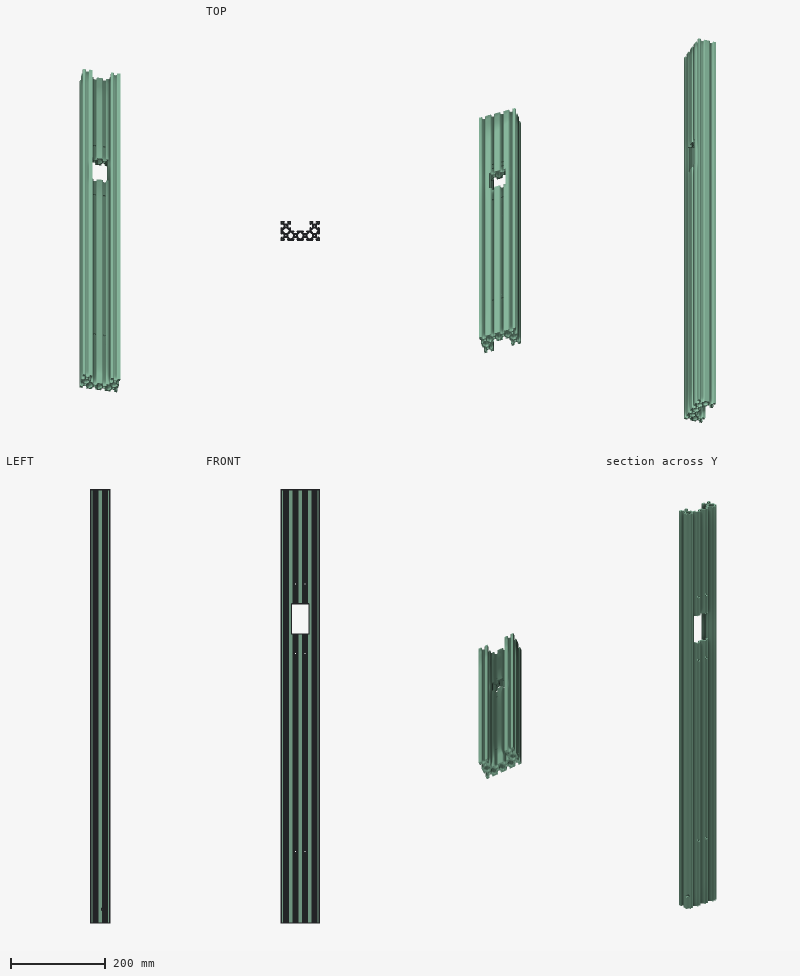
import cadquery as cq

length = 914.0
width = 80.0
cells_across = 4
module = width / cells_across
half_cell = module / 2
depth = 2 * module

mouth_half = 5.0
neck_half = 3.1
lip = 2.0
inside_half = 5.5
inside_side = 1.3
floor_depth = 6.1
floor_half = inside_half - (floor_depth - lip - inside_side)
groove_size = 0.7

chamber_half_length = 7.0
chamber_half_width = 6.0
chamber_corner = 5.0

bore_diameter = 5.0

window_width = 37.0
window_bottom = 610.0
window_top = 673.0

base_hole_diameter = 5.5
through_hole_heights = (151.0, 568.5, 715.0)
blind_hole_height = 698.0

edge_hole_diameter = 5.9
edge_hole_y = -5.5
edge_hole_height = 29.0
edge_hole_depth = half_cell

base_row = -half_cell
arm_row = half_cell
columns = [(i + 0.5) * module - width / 2 for i in range(cells_across)]
outer_columns = (columns[0], columns[-1])
inner_columns = columns[1:-1]
base_cells = [(x, base_row) for x in columns]
arm_cells = [(x, arm_row) for x in outer_columns]


def slot_cutter(x, y, angle):
    """Slot with its mouth centred on (x, y); at angle 0 it opens towards -Y."""
    right = [
        (mouth_half, 0),
        (neck_half, mouth_half - neck_half),
        (neck_half, lip),
        (inside_half, lip),
        (inside_half, lip + inside_side),
        (floor_half, floor_depth),
        (groove_size, floor_depth),
    ]
    groove_tip = (0, floor_depth + groove_size)
    left = [(-px, py) for px, py in reversed(right)]
    cutter = cq.Workplane("XY").polyline(right + [groove_tip] + left).close().extrude(length)
    return cutter.rotate((0, 0, 0), (0, 0, 1), angle).translate((x, y, 0))


def chamber_cutter(x, y, angle):
    """Eight-sided chamber centred on (x, y); at angle 0 its long axis is along Y."""
    side_half = chamber_half_length - chamber_corner
    end_half = chamber_half_width - chamber_corner
    right = [
        (end_half, -chamber_half_length),
        (chamber_half_width, -side_half),
        (chamber_half_width, side_half),
        (end_half, chamber_half_length),
    ]
    left = [(-px, -py) for px, py in right]
    cutter = cq.Workplane("XY").polyline(right + left).close().extrude(length)
    return cutter.rotate((0, 0, 0), (0, 0, 1), angle).translate((x, y, 0))


def base_hole_cutter(heights, hole_depth):
    """Holes in both inner slots, drilled hole_depth deep from the -Y face."""
    centres = [(x, z) for x in inner_columns for z in heights]
    plane = cq.Workplane("XZ", origin=(0, -depth / 2, 0))
    return plane.pushPoints(centres).circle(base_hole_diameter / 2).extrude(-hole_depth)


body = cq.Workplane("XY").center(0, base_row).rect(width, module).extrude(length)
body = body.union(cq.Workplane("XY").pushPoints(arm_cells).rect(module, module).extrude(length))

slots = [(x, -depth / 2, 0) for x in columns]
slots += [(x, 0, 180) for x in inner_columns]
slots += [(x, depth / 2, 180) for x in outer_columns]
for row in (base_row, arm_row):
    slots += [(-width / 2, row, -90), (width / 2, row, 90)]
slots += [(-module, arm_row, 90), (module, arm_row, -90)]
for x, y, angle in slots:
    body = body.cut(slot_cutter(x, y, angle))

chambers = [(x, base_row, 0) for x in (-module, 0, module)]
chambers += [(x, 0, 90) for x in outer_columns]
for x, y, angle in chambers:
    body = body.cut(chamber_cutter(x, y, angle))

bores = cq.Workplane("XY").pushPoints(base_cells + arm_cells).circle(bore_diameter / 2)
body = body.cut(bores.extrude(length))

window = cq.Workplane("XY", origin=(0, base_row, window_bottom)).rect(window_width, module)
body = body.cut(window.extrude(window_top - window_bottom))

body = body.cut(base_hole_cutter(through_hole_heights, module))
body = body.cut(base_hole_cutter([blind_hole_height], half_cell))

edge_hole = cq.Workplane("YZ", origin=(-width / 2, edge_hole_y, edge_hole_height))
body = body.cut(edge_hole.circle(edge_hole_diameter / 2).extrude(edge_hole_depth))

result = body